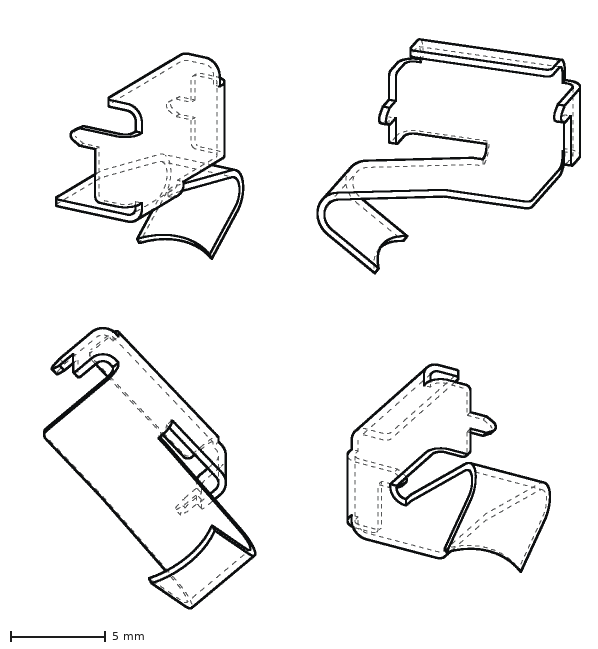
import cadquery as cq
import math


thickness = 0.4
inner_radius = 0.5
outer_radius = inner_radius + thickness
corner_radius = 0.3

part_depth = 5.45
part_length = 13.14
channel_length = 10.26
channel_top = 6.7

flange_reach = 2.22
flange_length = 8.0
flange_front = (channel_length - flange_length) / 2
flange_back = flange_front + flange_length
wall_top = 5.23
front_wall_bottom = 1.24
back_wall_bottom = 1.04

tab_width = 1.0
tab_tip_reach = 3.75
tab_tip_radius = 0.3
tab_taper = math.radians(30)
back_tab_top = 3.64

seat_bend_length = 4.28
seat_bend_back = flange_front + seat_bend_length
spring_width = 4.5
spring_edge = part_depth - spring_width
fold_y = 5.99
slope = math.radians(10)
leg_slope = math.radians(35)
spring_inner_radius = 1.0
spring_outer_radius = spring_inner_radius + thickness
leg_length = 3.23
tip_notch_radius = 4.0


def bent_flange(plane, start, length, edge, side, reach):
    """Flange with its bend: outer face at `edge`, facing `side`, folded towards -X."""
    bend_centre = edge - side * outer_radius
    inner_face = edge - side * thickness
    diagonal = math.sqrt(0.5)
    outer_mid = (outer_radius * (diagonal - 1), bend_centre + side * outer_radius * diagonal)
    inner_mid = (inner_radius * diagonal - outer_radius, bend_centre + side * inner_radius * diagonal)
    return (
        cq.Workplane(plane)
        .moveTo(0, bend_centre)
        .threePointArc(outer_mid, (-outer_radius, edge))
        .lineTo(-reach, edge)
        .lineTo(-reach, inner_face)
        .lineTo(-outer_radius, inner_face)
        .threePointArc(inner_mid, (-thickness, bend_centre))
        .close()
        .extrude(length)
        .translate(start)
    )


def back_wall():
    """Flat part of the wall between its four bends."""
    wall_front = outer_radius
    wall_back = channel_length - outer_radius
    outline = [
        (wall_front, front_wall_bottom),
        (flange_front, front_wall_bottom),
        (flange_front, outer_radius),
        (seat_bend_back, outer_radius),
        (seat_bend_back, back_wall_bottom),
        (wall_back, back_wall_bottom),
        (wall_back, wall_top),
        (flange_back, wall_top),
        (flange_back, channel_top - outer_radius),
        (flange_front, channel_top - outer_radius),
        (flange_front, wall_top),
        (wall_front, wall_top),
    ]
    return cq.Workplane("YZ").polyline(outline).close().extrude(-thickness)


def top_flange():
    flange = bent_flange(
        cq.Plane((0, 0, 0), (1, 0, 0), (0, -1, 0)),
        (0, flange_back, 0), flange_length, channel_top, 1, flange_reach,
    )
    return flange.edges("<X and |Z").fillet(corner_radius)


def seat_bend():
    return bent_flange(
        cq.Plane((0, 0, 0), (1, 0, 0), (0, -1, 0)),
        (0, seat_bend_back, 0), seat_bend_length, 0, -1, spring_edge,
    )


def tab(wall_face, top):
    """Tapered tab with a round tip, from y = wall_face to one thickness behind it."""
    middle = top - tab_width / 2
    tip_centre = -tab_tip_reach + tab_tip_radius
    round_x = tip_centre - tab_tip_radius * math.sin(tab_taper)
    round_half = tab_tip_radius * math.cos(tab_taper)
    shoulder_x = round_x + (tab_width / 2 - round_half) / math.tan(tab_taper)
    root_x = -outer_radius
    return (
        cq.Workplane("XZ", origin=(0, wall_face, 0))
        .moveTo(root_x, top)
        .lineTo(shoulder_x, top)
        .lineTo(round_x, middle + round_half)
        .threePointArc((-tab_tip_reach, middle), (round_x, middle - round_half))
        .lineTo(shoulder_x, top - tab_width)
        .lineTo(root_x, top - tab_width)
        .close()
        .extrude(-thickness)
    )


def front_side_wall():
    wall = bent_flange(
        "XY", (0, 0, front_wall_bottom), wall_top - front_wall_bottom, 0, -1, flange_reach
    )
    wall = wall.edges("<X and |Y").edges("<Z").fillet(corner_radius)
    return wall.union(tab(0, wall_top))


def back_side_wall():
    wall = bent_flange(
        "XY", (0, 0, back_wall_bottom), wall_top - back_wall_bottom, channel_length, 1, flange_reach
    )
    wall = wall.edges("<X and |Y").fillet(corner_radius)
    return wall.union(tab(channel_length - thickness, back_tab_top))


def spring():
    """Seat, sloping arm, round bend and free leg with a concave tip."""
    bend_y = part_length - spring_outer_radius
    bend_z = (
        thickness
        - (bend_y - fold_y) * math.tan(slope)
        - spring_outer_radius / math.cos(slope)
    )

    def on_bend(radius, angle):
        return (bend_y + radius * math.cos(angle), bend_z + radius * math.sin(angle))

    def along_leg(point):
        return (point[0] - leg_length * math.cos(leg_slope), point[1] - leg_length * math.sin(leg_slope))

    arm_angle = math.pi / 2 - slope
    leg_angle = leg_slope - math.pi / 2
    outer_leg_start = on_bend(spring_outer_radius, leg_angle)
    inner_leg_start = on_bend(spring_inner_radius, leg_angle)
    outer_tip = along_leg(outer_leg_start)
    inner_tip = along_leg(inner_leg_start)
    under_fold_y = fold_y - thickness * math.tan(slope / 2)

    strip = (
        cq.Workplane("YZ", origin=(-part_depth, 0, 0))
        .moveTo(flange_front, thickness)
        .lineTo(fold_y, thickness)
        .lineTo(*on_bend(spring_outer_radius, arm_angle))
        .threePointArc(on_bend(spring_outer_radius, 0), outer_leg_start)
        .lineTo(*outer_tip)
        .lineTo(*inner_tip)
        .lineTo(*inner_leg_start)
        .threePointArc(on_bend(spring_inner_radius, 0), on_bend(spring_inner_radius, arm_angle))
        .lineTo(under_fold_y, 0)
        .lineTo(flange_front, 0)
        .close()
        .extrude(spring_width)
    )
    strip = strip.edges("<Y and |Z").edges("<X").fillet(corner_radius)

    centre_offset = math.sqrt(tip_notch_radius**2 - (spring_width / 2) ** 2)
    leg_normal = (0, math.sin(leg_slope), -math.cos(leg_slope))
    notch_plane = cq.Plane(
        (-part_depth + spring_width / 2, outer_tip[0], outer_tip[1]), (1, 0, 0), leg_normal
    )
    notch_centre = cq.Vector(0, -math.cos(leg_slope), -math.sin(leg_slope)) * centre_offset
    notch = (
        cq.Workplane(notch_plane)
        .circle(tip_notch_radius)
        .extrude(2 * thickness, both=True)
        .translate(notch_centre)
    )
    return strip.cut(notch)


result = back_wall()
for feature in (top_flange(), seat_bend(), front_side_wall(), back_side_wall(), spring()):
    result = result.union(feature)